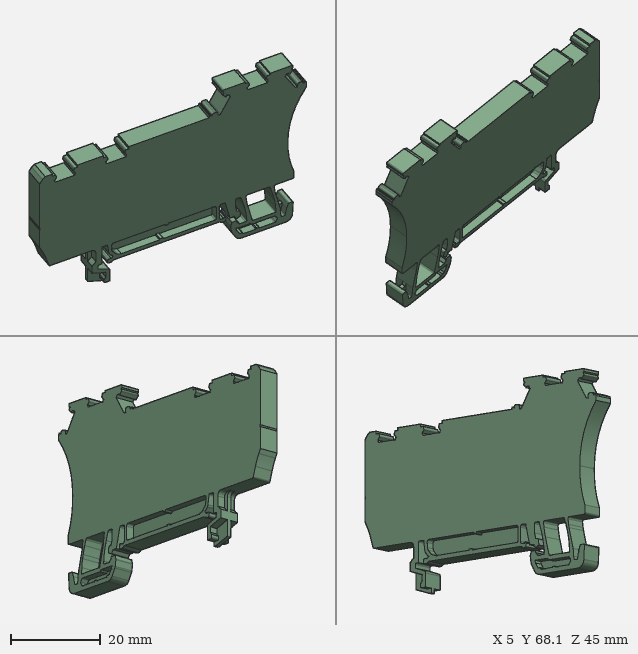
import cadquery as cq
import math

LENGTH = 68.05
HEIGHT = 45.05
THICKNESS = 5.0
WEB = 1.0

Y_END = LENGTH / 2
Z_UNDER = 12.0
Z_DECK = 38.45
ROOT = 0.7

TOWER_Y = 21.6
MARKER_NOTCH_DEPTH = 2.65
TOWER_NOTCH_DEPTH = 2.45
NOTCH_MOUTH = 3.2
NOTCH_SHOULDER = 2.05
DECK_NOTCHES_Y = (-14.5, -27.55)

HOLLOW_TOP_Z = 37.35
HOLLOW_DEEPEST = (29.25, 23.15)
HOLLOW_LOW_Y = 30.75
HOLLOW_LOW_Z = 14.1

GROOVE_Z = 23.7
GROOVE_HEIGHT = 0.4
GROOVE_DEPTH = 0.1


def corner_arc(before, corner, after, radius):
    """Return start, middle and end of the arc that rounds a corner."""
    to_before = math.atan2(before[1] - corner[1], before[0] - corner[0])
    to_after = math.atan2(after[1] - corner[1], after[0] - corner[0])
    half_turn = math.remainder(to_after - to_before, 2 * math.pi) / 2
    half_angle = abs(half_turn)
    bisector = to_before + half_turn
    tangent = radius / math.tan(half_angle)
    to_arc = radius / math.sin(half_angle) - radius

    def along(angle, distance):
        return (corner[0] + distance * math.cos(angle), corner[1] + distance * math.sin(angle))

    return along(to_before, tangent), along(bisector, to_arc), along(to_after, tangent)


def plate(points, thickness=THICKNESS):
    """Extrude a closed outline of (y, z) or (y, z, corner radius) points about X = 0."""
    outline = None
    for index, point in enumerate(points):
        if len(point) == 3:
            stops = corner_arc(points[index - 1], point, points[(index + 1) % len(points)], point[2])
        else:
            stops = (point,)
        if outline is None:
            outline = cq.Workplane("YZ").moveTo(*stops[0])
        else:
            outline = outline.lineTo(*stops[0])
        if len(stops) == 3:
            outline = outline.threePointArc(stops[1], stops[2])
    return outline.close().extrude(thickness / 2, both=True)


def pocket(points):
    """Cutter for a pocket sunk from both faces, leaving the central web."""
    return plate(points).cut(plate(points, WEB))


def marker_notch(y_axis, z_top, depth):
    """Cutter for an undercut snap-in notch, symmetric about y_axis."""
    z_floor = z_top - depth
    half = [
        (NOTCH_MOUTH, z_top + ROOT),
        (NOTCH_MOUTH, z_floor + NOTCH_SHOULDER),
        (2.4, z_floor + NOTCH_SHOULDER, 0.2),
        (2.1, z_floor + 1.2, 0.2),
        (2.65, z_floor + 0.55),
        (2.45, z_floor),
    ]
    right = [(y_axis - p[0], *p[1:]) for p in half]
    left = [(y_axis + p[0], *p[1:]) for p in reversed(half)]
    return plate(right + left)



TOWER_SIDE = [
    (8.9, HEIGHT, 0.2),
    (8.9, 44.4),
    (8.65, 44.1),
    (8.9, 43.55, 0.15),
    (8.1, 42.75),
    (7.9, 43.1),
    (7.5, 43.1),
    (7.0, 42.45),
    (9.6, 38.25, 0.2),
    (10.1, 38.25),
    (10.15, 39.3, 0.7),
    (11.6, 39.3, 0.6),
    (11.7, 38.65),
    (12.0, 38.9),
    (12.25, 38.9),
    (12.45, Z_DECK),
]


def body():
    plus_y_side = [(TOWER_Y + p[0], *p[1:]) for p in reversed(TOWER_SIDE)]
    minus_y_side = [(TOWER_Y - p[0], *p[1:]) for p in TOWER_SIDE]
    minus_y_end = [
        (-32.6, Z_DECK),
        (-33.3, 37.9),
        (-Y_END, 36.9),
        (-Y_END, 18.3),
        (-32.8, 15.9, 17.0),
        (-31.6, Z_UNDER, 0.35),
    ]
    plus_y_end = [
        (HOLLOW_LOW_Y, Z_UNDER, 0.35),
        (HOLLOW_LOW_Y, HOLLOW_LOW_Z),
        (Y_END, HOLLOW_LOW_Z),
        (Y_END, HOLLOW_TOP_Z),
    ]
    solid = plate(plus_y_side + minus_y_side + minus_y_end + plus_y_end)
    return solid.cut(end_hollow())


def end_hollow():
    """Cutter for the concave +Y end, an open arc above a tighter one."""
    hollow = (
        cq.Workplane("YZ")
        .moveTo(Y_END, HOLLOW_TOP_Z)
        .threePointArc((30.75, 31.5), HOLLOW_DEEPEST)
        .threePointArc((29.6, 18.4), (HOLLOW_LOW_Y, HOLLOW_LOW_Z))
        .lineTo(Y_END + ROOT, HOLLOW_LOW_Z)
        .lineTo(Y_END + ROOT, HOLLOW_TOP_Z)
        .close()
    )
    return hollow.extrude(THICKNESS / 2, both=True)


def end_groove():
    return (
        cq.Workplane("XY")
        .box(THICKNESS, 2 * GROOVE_DEPTH, GROOVE_HEIGHT)
        .translate((0, -Y_END, GROOVE_Z))
    )



def spring_foot():
    outline = [
        (26.5, Z_UNDER + ROOT),
        (26.5, Z_UNDER),
        (25.7, Z_UNDER, 0.4),
        (26.0, 9.9, 6.8),
        (27.3, 4.6),
        (27.6, 4.0),
        (28.9, 4.0),
        (29.4, 5.25, 0.2),
        (30.6, 5.25, 0.3),
        (30.35, 0.0, 1.85),
        (16.4, 0.0, 1.7),
        (14.9, 2.7, 1.0),
        (14.6, 4.5, 0.35),
        (15.0, 5.6),
        (16.2, 5.6),
        (16.25, 5.05),
        (16.95, 4.35),
        (18.8, 4.35, 0.35),
        (18.6, 7.5, 20.4),
        (17.2, Z_UNDER, 0.5),
        (16.75, Z_UNDER),
        (16.75, Z_UNDER + ROOT),
    ]
    window = [
        (24.65, Z_UNDER, 0.55),
        (18.5, Z_UNDER, 0.4),
        (18.85, 9.4, 20.4),
        (20.2, 3.95, 0.3),
        (26.2, 3.95, 0.15),
        (26.05, 6.45, 13.6),
        (25.45, 9.4, 20.4),
    ]
    toe_slot = [
        (27.3, 4.6),
        (27.4, 2.85),
        (27.6, 2.05, 0.2),
        (28.5, 2.05, 0.2),
        (28.9, 4.0),
        (27.6, 4.0),
    ]
    sole_pocket = [
        (26.0, 2.9, 0.3),
        (20.0, 2.9),
        (19.6, 3.35),
        (16.05, 3.35),
        (16.2, 2.7),
        (16.95, 1.5),
        (17.55, 1.5),
        (17.9, 1.1),
        (21.1, 1.1),
        (21.3, 1.3),
        (21.85, 1.3),
        (22.05, 1.1),
        (26.0, 1.1, 0.3),
        (26.6, 2.0, 0.2),
    ]
    return plate(outline).cut(plate(window)).cut(pocket(toe_slot)).cut(pocket(sole_pocket))



def stop_finger():
    return plate([
        (16.75, Z_UNDER + ROOT),
        (16.75, Z_UNDER),
        (15.9, Z_UNDER, 0.35),
        (15.9, 9.5),
        (16.25, 8.3),
        (17.0, 8.1, 0.2),
        (17.2, 6.7),
        (16.2, 6.1, 0.2),
        (15.6, 7.0),
        (14.5, 7.0),
        (13.3, Z_UNDER, 0.4),
        (12.7, Z_UNDER),
        (12.7, Z_UNDER + ROOT),
    ])



def rail_seat():
    outline = [
        (12.7, Z_UNDER + ROOT),
        (12.7, Z_UNDER),
        (11.8, Z_UNDER, 0.6),
        (11.8, 7.6, 0.55),
        (12.8, 7.6),
        (13.2, 7.9),
        (13.5, 7.55),
        (13.5, 6.75),
        (12.6, 6.5),
        (11.7, 7.0),
        (-15.1, 7.0),
        (-15.8, 6.6),
        (-16.75, 6.6, 0.3),
        (-16.75, 7.8, 0.35),
        (-15.8, 7.7),
        (-15.3, 8.1),
        (-16.3, 9.25, 1.0),
        (-16.75, Z_UNDER, 0.3),
        (-17.15, Z_UNDER),
        (-17.15, Z_UNDER + ROOT),
    ]
    seat_pocket = [
        (11.0, Z_UNDER, 0.6),
        (-1.0, Z_UNDER),
        (-1.4, 11.6),
        (-1.85, 11.6),
        (-2.25, Z_UNDER),
        (-15.7, Z_UNDER, 0.6),
        (-15.6, 9.8, 1.0),
        (-14.4, 8.45, 1.0),
        (-13.2, 8.0),
        (-3.5, 8.0),
        (-3.35, 8.3),
        (-2.6, 8.3),
        (-2.45, 8.0),
        (11.0, 8.0, 0.35),
    ]
    return plate(outline).cut(pocket(seat_pocket))



def fixed_claw():
    z_rib_top = 7.4
    z_rib_bottom = 5.4
    y_root_flare = 1.3
    y_inner = -18.2
    y_outer = -20.7
    y_nose = -16.1
    z_tip = 0.2
    z_tip_outer = 1.5
    outline = [
        (-17.8, Z_UNDER + ROOT),
        (-17.8, Z_UNDER),
        (y_inner, Z_UNDER, 0.3),
        (y_inner, 7.1),
        (-19.1, 7.1, 0.35),
        (-19.1, 5.9),
        (y_nose, 4.8, 0.55),
        (y_nose, z_tip, 0.15),
        (-16.8, z_tip, 0.15),
        (y_outer, z_tip_outer, 0.15),
        (y_outer, Z_UNDER, 1.2),
        (y_outer - y_root_flare, Z_UNDER),
        (y_outer - y_root_flare, Z_UNDER + ROOT),
    ]
    y_open = y_outer - ROOT - y_root_flare
    upper_pocket = [
        (-19.7, Z_UNDER, 1.2),
        (-19.7, 8.4),
        (y_outer, z_rib_top),
        (y_open, z_rib_top),
        (y_open, Z_UNDER),
    ]
    lower_pocket = [
        (y_open, z_rib_bottom),
        (y_outer, z_rib_bottom),
        (-17.15, 4.15),
        (-17.15, 2.85),
        (-17.6, 2.25),
        (-17.6, 1.3, 0.3),
        (y_nose + ROOT, 1.3),
        (y_nose + ROOT, z_tip - ROOT),
        (y_open, z_tip - ROOT),
    ]
    return plate(outline).cut(pocket(upper_pocket)).cut(pocket(lower_pocket))



result = body().cut(marker_notch(TOWER_Y, HEIGHT, TOWER_NOTCH_DEPTH))
for notch_y in DECK_NOTCHES_Y:
    result = result.cut(marker_notch(notch_y, Z_DECK, MARKER_NOTCH_DEPTH))
result = result.cut(end_groove())
for lower_part in (spring_foot(), stop_finger(), rail_seat(), fixed_claw()):
    result = result.union(lower_part)